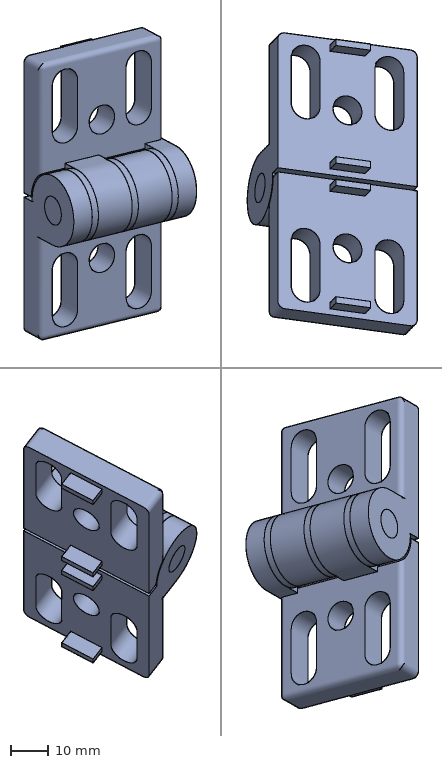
import cadquery as cq

hinge_height = 80.0
hinge_width = 40.0
half_width = hinge_width / 2

leaf_thickness = 8.0
leaf_gap = 1.2
leaf_inner_z = leaf_gap / 2
leaf_outer_z = hinge_height / 2
leaf_length = leaf_outer_z - leaf_inner_z
leaf_middle_z = (leaf_inner_z + leaf_outer_z) / 2
corner_radius = 2.0
rim_radius = 1.5

hole_diameter = 8.2
hole_z = 20.0
slot_width = hole_diameter
slot_length = 21.3
slot_spacing = 24.0
slot_z = 26.6

tab_depth = 4.5
tab_width = 10.0
tab_thickness = 1.8
tab_spacing = 34.1

barrel_x = 14.0
barrel_radius = 10.0
clearance_radius = 10.5
pin_diameter = 8.0
washer_width = 2.0
end_knuckle_width = 6.0
middle_knuckle_width = (hinge_width - 2 * end_knuckle_width - 3 * washer_width) / 2

lower_end_y = -half_width
front_washer_y = lower_end_y + end_knuckle_width
upper_middle_y = front_washer_y + washer_width
middle_washer_y = upper_middle_y + middle_knuckle_width
lower_middle_y = middle_washer_y + washer_width
back_washer_y = lower_middle_y + middle_knuckle_width
upper_end_y = back_washer_y + washer_width

washer_starts = [front_washer_y, middle_washer_y, back_washer_y]
upper_knuckles = [(upper_middle_y, middle_knuckle_width), (upper_end_y, end_knuckle_width)]
lower_knuckles = [(lower_end_y, end_knuckle_width), (lower_middle_y, middle_knuckle_width)]


def barrel_cylinder(radius, start_y, width):
    """Cylinder on the barrel axis, running from start_y toward +Y."""
    axis_plane = cq.Workplane("XZ", origin=(barrel_x, start_y, 0))
    return axis_plane.circle(radius).extrude(-width)


def plate():
    """Upper leaf plate with a soft front rim, trimmed by the rounded corners of its outline."""
    body = cq.Workplane("XY").box(leaf_thickness, hinge_width, leaf_length)
    body = body.translate((leaf_thickness / 2, 0, leaf_middle_z))
    rounded_outline = body.edges("|X and >Z").fillet(corner_radius)
    upper_corners = body.edges("|X and >Z")
    front_rim = body.faces(">X").edges("|Z or >Z")
    soft_rim = upper_corners.add(front_rim).fillet(rim_radius)
    return soft_rim.intersect(rounded_outline)


def knuckle(start_y, width):
    """Barrel segment on a block with a tangent flat top that runs back through the plate."""
    web = cq.Workplane("XY").box(barrel_x, width, barrel_radius - leaf_inner_z, centered=False)
    web = web.translate((0, start_y, leaf_inner_z))
    return barrel_cylinder(barrel_radius, start_y, width).union(web)


def tabs():
    """Pair of locating tabs standing out from the back face."""
    return (
        cq.Workplane("YZ", origin=(0, 0, leaf_middle_z))
        .rarray(0.8, tab_spacing, 1, 2)
        .rect(tab_width, tab_thickness)
        .extrude(-tab_depth)
    )


def screw_openings():
    """Two upright slots and one round hole through the plate thickness."""
    slots = (
        cq.Workplane("YZ", origin=(0, 0, slot_z))
        .rarray(slot_spacing, 0.8, 2, 1)
        .slot2D(slot_length, slot_width, 90)
        .extrude(leaf_thickness)
    )
    hole = cq.Workplane("YZ", origin=(0, 0, hole_z)).circle(hole_diameter / 2).extrude(leaf_thickness)
    return slots.union(hole)


def leaf(knuckles):
    """Upper leaf: plate, tabs and the given (start_y, width) knuckles."""
    body = plate().cut(barrel_cylinder(clearance_radius, -half_width, hinge_width))
    for start_y, width in knuckles:
        body = body.union(knuckle(start_y, width))
    body = body.union(tabs()).cut(screw_openings())
    return body.cut(barrel_cylinder(pin_diameter / 2, -half_width, hinge_width))


def washer(start_y):
    """Ring between two neighbouring knuckles."""
    ring = barrel_cylinder(barrel_radius, start_y, washer_width)
    return ring.cut(barrel_cylinder(pin_diameter / 2, start_y, washer_width))


upper_leaf = leaf(upper_knuckles)
lower_leaf = leaf(lower_knuckles).mirror("XY")
pin = barrel_cylinder(pin_diameter / 2, -half_width, hinge_width)
washers = [washer(start_y) for start_y in washer_starts]

result = cq.Compound.makeCompound(
    [upper_leaf.val(), lower_leaf.val(), pin.val(), *[ring.val() for ring in washers]]
)